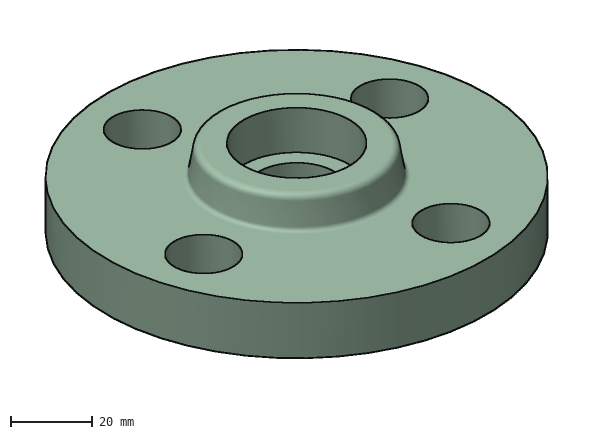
import cadquery as cq
import math


flange_diameter = 123.9
flange_thickness = 15.9
total_height = 25.4

hub_height = total_height - flange_thickness
hub_base_diameter = 53.9
hub_taper_angle = 10
hub_top_radius = hub_base_diameter / 2 - hub_height * math.tan(math.radians(hub_taper_angle))
hub_root_fillet = 1.4
hub_rim_fillet = 2.0

bore_diameter = 24.3
socket_diameter = 34.5
socket_depth = 12.8

bolt_hole_count = 4
bolt_hole_diameter = 19.1
bolt_circle_diameter = 88.9


def make_body():
    """Disc and tapered hub, revolved from a half section."""
    body = (
        cq.Workplane("XZ")
        .moveTo(0, 0)
        .lineTo(flange_diameter / 2, 0)
        .lineTo(flange_diameter / 2, flange_thickness)
        .lineTo(hub_base_diameter / 2, flange_thickness)
        .lineTo(hub_top_radius, total_height)
        .lineTo(0, total_height)
        .close()
        .revolve(360, (0, 0, 0), (0, 1, 0))
    )
    body = body.faces(">Z").edges().fillet(hub_rim_fillet)
    disc_top = body.faces("|Z").faces("<Z[1]")
    root_circle = disc_top.edges(cq.selectors.RadiusNthSelector(0))
    return root_circle.fillet(hub_root_fillet)


def make_bore():
    """Through bore opening into a wider pipe socket at the hub end."""
    bore = cq.Workplane("XY").circle(bore_diameter / 2).extrude(total_height)
    socket = (
        cq.Workplane("XY", origin=(0, 0, total_height - socket_depth))
        .circle(socket_diameter / 2)
        .extrude(socket_depth)
    )
    return bore.union(socket)


def make_bolt_holes():
    """Bolt holes through the disc, evenly spaced from the X axis."""
    return (
        cq.Workplane("XY")
        .polarArray(bolt_circle_diameter / 2, 0, 360, bolt_hole_count)
        .circle(bolt_hole_diameter / 2)
        .extrude(flange_thickness)
    )


result = make_body().cut(make_bore()).cut(make_bolt_holes())